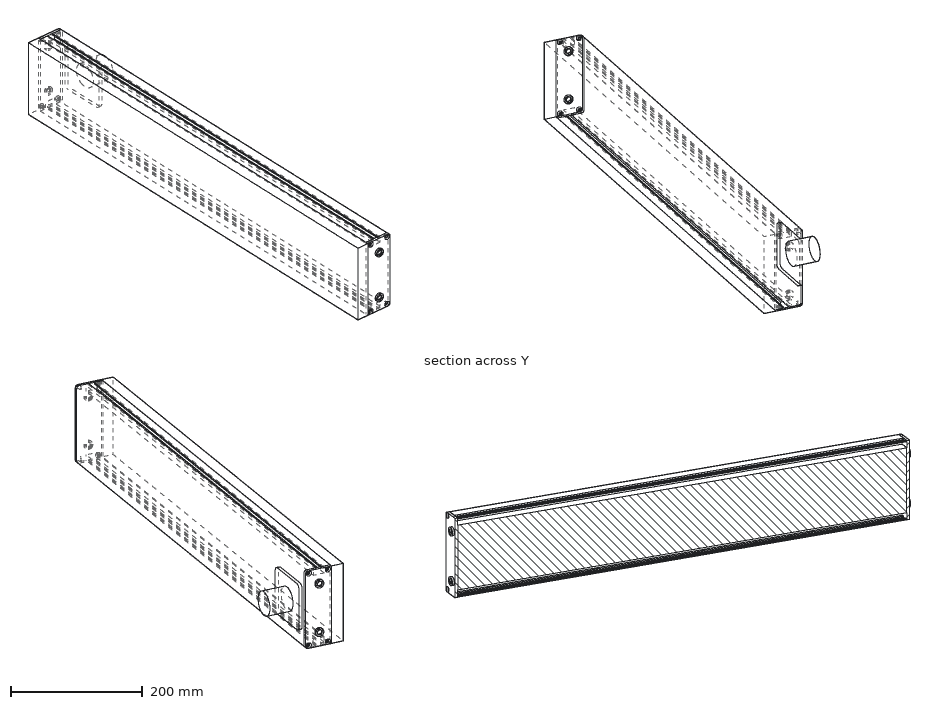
import cadquery as cq

total_length = 772.0
head_height = 3.0
body_length = total_length - 2 * head_height
height = 130.0
pad_depth = 20.0
profile_depth = 45.0
back_y = pad_depth + profile_depth

plate_thickness = 5.0
profile_length = body_length - 2 * plate_thickness
back_edge_radius = 5.0

slot_y = 39.0
slot_mouth_width = 9.0
slot_lip_depth = 2.0
slot_inner_width = 18.5
slot_inner_depth = 9.0

head_diameter = 14.0
head_y = 42.0
head_spacing = 81.0
socket_sides = 6
socket_width = 8.0
socket_depth = 2.0

corner_hole_diameter = 5.0
countersink_diameter = 8.5
countersink_angle = 90
corner_hole_inset_y = 6.0
corner_hole_inset_z = 5.0

flange_length = 79.0
flange_height = 77.0
flange_thickness = 5.5
flange_corner_radius = 7.0
pipe_diameter = 39.0
pipe_end_y = 110.0
connector_x = -333.0


def make_pad():
    """Flat pad that covers the whole front."""
    return cq.Workplane("XY").box(body_length, pad_depth, height).translate((0, pad_depth / 2, 0))


def make_bar(length):
    """Bar behind the pad, centred on X = 0, with its two back edges rounded."""
    bar = cq.Workplane("XY").box(length, profile_depth, height)
    bar = bar.translate((0, pad_depth + profile_depth / 2, 0))
    return bar.edges("|X and >Y").fillet(back_edge_radius)


def make_t_slot():
    """T-slot cutter for the top of the profile: a narrow mouth above a wider channel."""
    lip_z = height / 2 - slot_lip_depth
    mouth = cq.Workplane("XY").box(profile_length, slot_mouth_width, slot_lip_depth)
    mouth = mouth.translate((0, slot_y, lip_z + slot_lip_depth / 2))
    channel = cq.Workplane("XY").box(profile_length, slot_inner_width, slot_inner_depth)
    return mouth.union(channel.translate((0, slot_y, lip_z - slot_inner_depth / 2)))


def make_profile():
    """Main profile with one T-slot along its top and one along its bottom."""
    slot = make_t_slot()
    return make_bar(profile_length).cut(slot).cut(slot.mirror("XY"))


def make_end_plate():
    """End plate at the -X end, with its two screw heads and four countersunk corner holes."""
    outer_x = -body_length / 2
    plate = make_bar(plate_thickness).translate((outer_x + plate_thickness / 2, 0, 0))

    head_points = [(head_y, side * head_spacing / 2) for side in (1, -1)]
    head_face = cq.Workplane("YZ", origin=(outer_x - head_height, 0, 0)).pushPoints(head_points)
    heads = head_face.circle(head_diameter / 2).extrude(head_height)
    sockets = head_face.polygon(socket_sides, socket_width, circumscribed=True).extrude(socket_depth)

    hole_points = [
        (-y, side * (height / 2 - corner_hole_inset_z))
        for y in (pad_depth + corner_hole_inset_y, back_y - corner_hole_inset_y)
        for side in (1, -1)
    ]
    plate = plate.faces("<X").workplane(origin=(outer_x, 0, 0)).pushPoints(hole_points)
    plate = plate.cskHole(corner_hole_diameter, countersink_diameter, countersink_angle)
    return plate.union(heads).cut(sockets)


def make_connector():
    """Flange with rounded corners and a pipe, on the back of the profile."""
    flange = cq.Workplane("ZX", origin=(connector_x, back_y, 0)).rect(flange_height, flange_length)
    flange = flange.extrude(flange_thickness).edges("|Y").fillet(flange_corner_radius)
    pipe = cq.Workplane("ZX", origin=(connector_x, back_y, 0)).circle(pipe_diameter / 2)
    return flange.union(pipe.extrude(pipe_end_y - back_y))


pad = make_pad()
profile = make_profile()
connector = make_connector()
left_plate = make_end_plate()
right_plate = left_plate.mirror("YZ")

result = cq.Compound.makeCompound(
    [pad.val(), profile.val(), connector.val(), left_plate.val(), right_plate.val()]
)